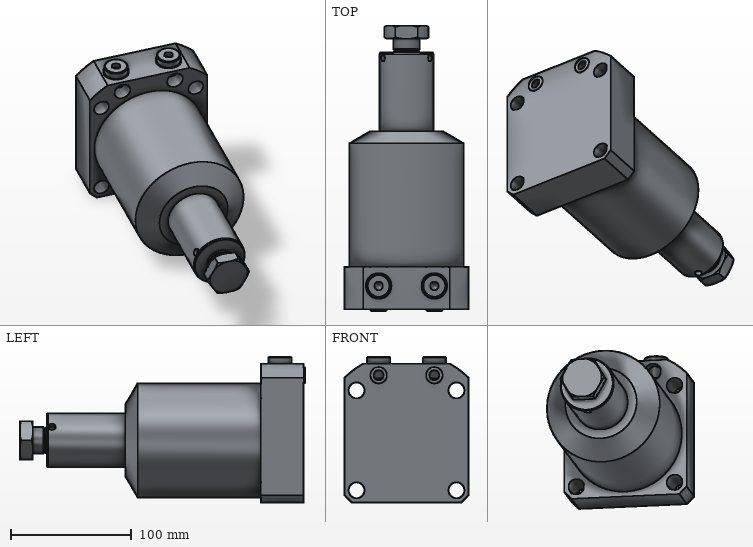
import cadquery as cq
import math

block_width = 103.0
block_depth = 35.2
block_bottom = -block_width / 2
block_top = 63.5
top_corner_radius = 73.0
bottom_chamfer = 6.1
mount_hole_diameter = 13.0
mount_hole_offset = 41.3

barrel_radius = 47.5
barrel_length = 102.0
cone_length = 10.2
cone_end_radius = 30.0
rod_radius = 22.5
rod_length = 65.2
rod_chamfer_length = 1.5
rod_chamfer_height = 0.7

spanner_hole_count = 3
spanner_first_angle = 30
spanner_hole_diameter = 6.0
spanner_hole_depth = 4.7
spanner_tip_height = 1.7
spanner_hole_inset = 4.5

shank_radius = 11.0
shank_length = 11.3
groove_depth = 1.2
groove_width = 2.8
head_across_flats = 32.0
head_thickness = 10.9
head_face_radius = 16.3
head_chamfer_angle = 30

port_x = 23.03
port_z = 53.9
ring_inner_radius = 4.0
ring_section_radius = 1.5
ring_outer_radius = ring_inner_radius + 2 * ring_section_radius

plug_y = 19.4
plug_head_radius = 9.7
plug_head_height = 5.5
plug_chamfer = 0.7
plug_shank_radius = 6.5
plug_depth = 12.5
plug_seat_radius = 10.6
plug_seat_depth = 0.7
socket_radius = 3.5
socket_depth = 4.7
socket_tip_height = 2.1

barrel_end = block_depth + barrel_length
cone_end = barrel_end + cone_length
rod_end = cone_end + rod_length
shank_end = rod_end + shank_length
head_end = shank_end + head_thickness

port_positions = [-port_x, port_x]


def revolve_about_y(points):
    """Turn an outline of (radius, y) points about the Y axis."""
    return cq.Workplane("XY").polyline(points).close().revolve(360, (0, 0, 0), (0, 1, 0))


def cylinder_along_y(radius, start, end, x, z):
    direction = cq.Vector(0, 1, 0)
    return cq.Workplane(obj=cq.Solid.makeCylinder(radius, end - start, cq.Vector(x, start, z), direction))


def cylinder_along_z(radius, bottom, top, x, y):
    return cq.Workplane(obj=cq.Solid.makeCylinder(radius, top - bottom, cq.Vector(x, y, bottom)))


def make_block():
    half_width = block_width / 2
    arc_top_x = math.sqrt(top_corner_radius**2 - block_top**2)
    arc_side_z = math.sqrt(top_corner_radius**2 - half_width**2)
    arc_angle = (math.atan2(block_top, arc_top_x) + math.atan2(arc_side_z, half_width)) / 2
    arc_middle_x = top_corner_radius * math.cos(arc_angle)
    arc_middle_z = top_corner_radius * math.sin(arc_angle)
    block = (
        cq.Workplane("XZ")
        .moveTo(-half_width + bottom_chamfer, block_bottom)
        .lineTo(half_width - bottom_chamfer, block_bottom)
        .lineTo(half_width, block_bottom + bottom_chamfer)
        .lineTo(half_width, arc_side_z)
        .threePointArc((arc_middle_x, arc_middle_z), (arc_top_x, block_top))
        .lineTo(-arc_top_x, block_top)
        .threePointArc((-arc_middle_x, arc_middle_z), (-half_width, arc_side_z))
        .lineTo(-half_width, block_bottom + bottom_chamfer)
        .close()
        .extrude(-block_depth)
    )
    for x in (-mount_hole_offset, mount_hole_offset):
        for z in (-mount_hole_offset, mount_hole_offset):
            block = block.cut(cylinder_along_y(mount_hole_diameter / 2, 0, block_depth, x, z))
    return block


def cut_ports(block):
    """Cut the port bores and the stepped plug holes that meet them from above."""
    for x in port_positions:
        block = block.cut(cylinder_along_y(ring_outer_radius, 0, block_depth, x, port_z))
        block = block.cut(cylinder_along_z(plug_shank_radius, block_top - plug_depth, block_top, x, plug_y))
        block = block.cut(cylinder_along_z(plug_seat_radius, block_top - plug_seat_depth, block_top, x, plug_y))
    return block


def make_barrel_and_rod():
    body = revolve_about_y([
        (0, block_depth),
        (barrel_radius, block_depth),
        (barrel_radius, barrel_end),
        (cone_end_radius, cone_end),
        (rod_radius, cone_end),
        (rod_radius, rod_end - rod_chamfer_length),
        (rod_radius - rod_chamfer_height, rod_end),
        (0, rod_end),
    ])
    hole_radius = spanner_hole_diameter / 2
    hole_floor = rod_radius - spanner_hole_depth
    spanner_drill = (
        cq.Workplane("XY")
        .polyline([
            (hole_floor - spanner_tip_height, 0),
            (hole_floor, hole_radius),
            (rod_radius + hole_radius, hole_radius),
            (rod_radius + hole_radius, 0),
        ])
        .close()
        .revolve(360, (0, 0, 0), (1, 0, 0))
        .translate((0, rod_end - spanner_hole_inset, 0))
    )
    for index in range(spanner_hole_count):
        angle = spanner_first_angle + index * 360 / spanner_hole_count
        body = body.cut(spanner_drill.rotate((0, 0, 0), (0, 1, 0), -angle))
    return body


def make_screw():
    """Hexagon head on a shank, with a relief groove at the rod end."""
    groove_radius = shank_radius - groove_depth
    shank = revolve_about_y([
        (0, rod_end),
        (shank_radius, rod_end),
        (groove_radius, rod_end + groove_depth),
        (groove_radius, rod_end + groove_width - groove_depth),
        (shank_radius, rod_end + groove_width),
        (shank_radius, shank_end),
        (0, shank_end),
    ])
    corner_radius = head_across_flats / 2 / math.cos(math.radians(30))
    hexagon = (
        cq.Workplane("XZ", origin=(0, shank_end, 0))
        .polygon(6, 2 * corner_radius)
        .extrude(-head_thickness)
    )
    chamfer_height = (corner_radius - head_face_radius) * math.tan(math.radians(head_chamfer_angle))
    chamfer_envelope = revolve_about_y([
        (0, shank_end),
        (head_face_radius, shank_end),
        (corner_radius, shank_end + chamfer_height),
        (corner_radius, head_end - chamfer_height),
        (head_face_radius, head_end),
        (0, head_end),
    ])
    return shank.union(hexagon.intersect(chamfer_envelope))


def make_cylinder():
    return cut_ports(make_block()).union(make_barrel_and_rod()).union(make_screw())


def make_plug(x):
    """Round-headed screw plug with a blind, cone-bottomed socket."""
    head_top = block_top + plug_head_height
    plug = (
        cq.Workplane("XZ")
        .polyline([
            (0, block_top - plug_depth),
            (plug_shank_radius, block_top - plug_depth),
            (plug_shank_radius, block_top - plug_seat_depth),
            (plug_head_radius, block_top - plug_seat_depth),
            (plug_head_radius, head_top - plug_chamfer),
            (plug_head_radius - plug_chamfer, head_top),
            (socket_radius, head_top),
            (socket_radius, head_top - socket_depth),
            (0, head_top - socket_depth - socket_tip_height),
        ])
        .close()
        .revolve(360, (0, 0, 0), (0, 1, 0))
    )
    return plug.translate((x, plug_y, 0))


def make_sealing_ring(x):
    """O-ring lying half proud of the front face, touching the port bore."""
    centre_radius = ring_inner_radius + ring_section_radius
    return cq.Solid.makeTorus(centre_radius, ring_section_radius, cq.Vector(x, 0, port_z), cq.Vector(0, 1, 0))


cylinder = make_cylinder()
plugs = [make_plug(x).val() for x in port_positions]
sealing_rings = [make_sealing_ring(x) for x in port_positions]

result = cq.Compound.makeCompound([cylinder.val(), *plugs, *sealing_rings])